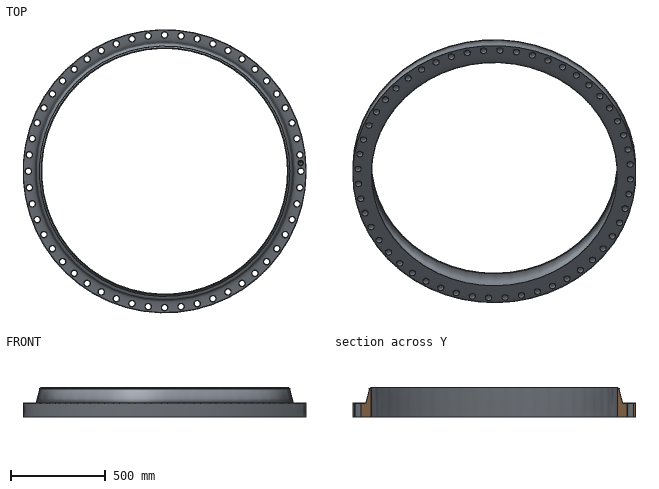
import math

import cadquery as cq

flange_diameter = 1493.7
flange_thickness = 74.0
bore_diameter = 1297.0

total_height = 157.3
hub_base_diameter = 1358.0
hub_base_fillet = 5.0
pipe_diameter = 1321.0
pipe_straight_length = 5.0
bevel_angle = 37.5
weld_land = 3.0

bolt_count = 52
bolt_circle_diameter = 1438.0
bolt_hole_diameter = 32.0

blind_hole_diameter = 24.0
blind_hole_mouth_diameter = 29.0
blind_hole_depth = 40.0
drill_point_angle = 118.0
blind_hole_angle = 180.0 / bolt_count


def point_on_bolt_circle(angle):
    radius = bolt_circle_diameter / 2
    return (radius * math.cos(math.radians(angle)), radius * math.sin(math.radians(angle)))


def flange_body():
    bore_radius = bore_diameter / 2
    flange_radius = flange_diameter / 2
    hub_base_radius = hub_base_diameter / 2
    pipe_radius = pipe_diameter / 2
    land_radius = bore_radius + weld_land
    bevel_height = (pipe_radius - land_radius) * math.tan(math.radians(bevel_angle))
    bevel_base_z = total_height - bevel_height
    profile = (
        cq.Workplane("XZ")
        .moveTo(bore_radius, 0)
        .lineTo(flange_radius, 0)
        .lineTo(flange_radius, flange_thickness)
        .lineTo(hub_base_radius, flange_thickness)
        .lineTo(pipe_radius, bevel_base_z - pipe_straight_length)
        .lineTo(pipe_radius, bevel_base_z)
        .lineTo(land_radius, total_height)
        .lineTo(bore_radius, total_height)
        .close()
    )
    body = profile.revolve(360, (0, 0, 0), (0, 1, 0))
    hub_base_edge = cq.selectors.RadiusNthSelector(-2)
    return body.edges(hub_base_edge).fillet(hub_base_fillet)


def bolt_holes():
    points = [point_on_bolt_circle(i * 360.0 / bolt_count) for i in range(bolt_count)]
    return cq.Workplane("XY").pushPoints(points).circle(bolt_hole_diameter / 2).extrude(flange_thickness)


def blind_hole():
    hole_radius = blind_hole_diameter / 2
    mouth_radius = blind_hole_mouth_diameter / 2
    chamfer_depth = mouth_radius - hole_radius
    point_depth = hole_radius / math.tan(math.radians(drill_point_angle / 2))
    profile = (
        cq.Workplane("XZ")
        .moveTo(0, flange_thickness)
        .lineTo(mouth_radius, flange_thickness)
        .lineTo(hole_radius, flange_thickness - chamfer_depth)
        .lineTo(hole_radius, flange_thickness - blind_hole_depth)
        .lineTo(0, flange_thickness - blind_hole_depth - point_depth)
        .close()
    )
    hole = profile.revolve(360, (0, 0, 0), (0, 1, 0))
    x, y = point_on_bolt_circle(blind_hole_angle)
    return hole.translate((x, y, 0))


result = flange_body().cut(bolt_holes()).cut(blind_hole())